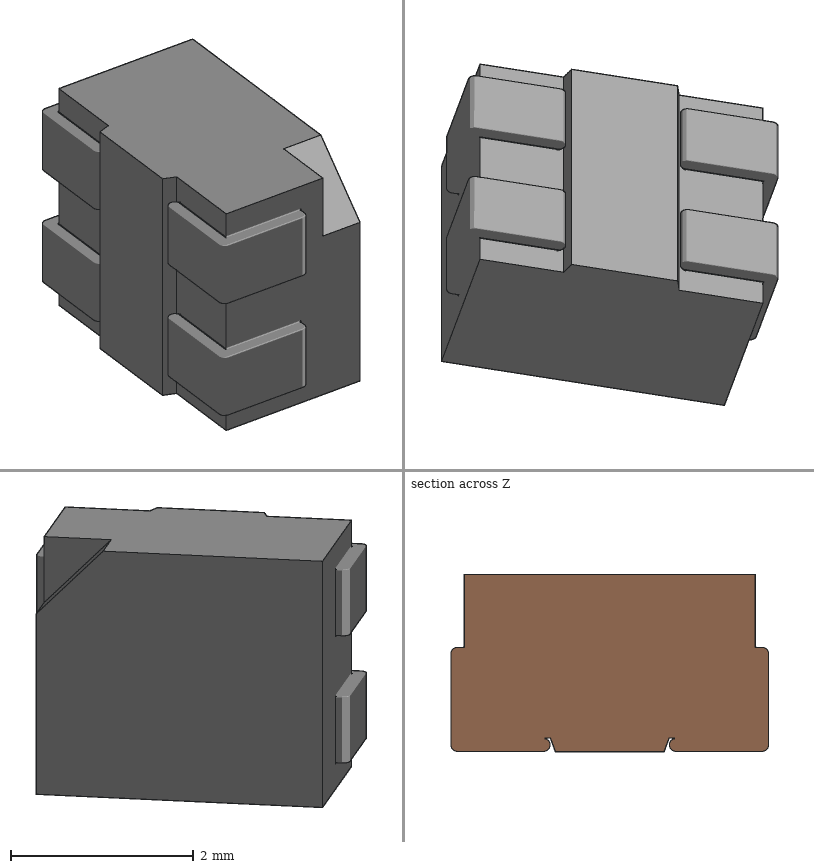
import cadquery as cq
import math

total_width = 3.5
total_depth = 1.95
housing_height = 2.8
lead_thickness = 0.15
lead_width = 0.752
lead_pitch = 1.445
lead_top = 1.15
foot_length = 1.1
lead_edge_fillet = 0.01
ridge_draft = 20.0
ridge_crest_width = 1.197
corner_cut = 0.75
corner_cut_depth = 0.5

half_width = total_width / 2
housing_half_width = half_width - lead_thickness
foot_tip = half_width - foot_length
ridge_root_width = ridge_crest_width + 2 * lead_thickness * math.tan(math.radians(ridge_draft))
bend_radius = lead_thickness / 2
tolerance = 3.5e-05
lead_centres = [(housing_height + end * lead_pitch) / 2 for end in (-1, 1)]


def housing_block():
    """Block with a tapered ridge that stands between the feet."""
    outline = [
        (-housing_half_width, total_depth),
        (housing_half_width, total_depth),
        (housing_half_width, lead_thickness),
        (ridge_root_width / 2, lead_thickness),
        (ridge_crest_width / 2, 0),
        (-ridge_crest_width / 2, 0),
        (-ridge_root_width / 2, lead_thickness),
        (-housing_half_width, lead_thickness),
    ]
    return cq.Workplane("XY").polyline(outline).close().extrude(housing_height)


def corner_wedge():
    """Wedge that leaves a 45 degree slope at the +X, +Y, +Z corner."""
    outline = [
        (housing_half_width - corner_cut, housing_height),
        (housing_half_width, housing_height),
        (housing_half_width, housing_height - corner_cut),
    ]
    return (
        cq.Workplane("XZ", origin=(0, total_depth, 0))
        .polyline(outline)
        .close()
        .extrude(corner_cut_depth)
    )


def make_lead(side, centre_z):
    """L-shaped lead with rounded outer bends, on the +X (1) or -X (-1) side."""
    outer = side * half_width
    inner = side * housing_half_width
    bend_start = side * (half_width - bend_radius)
    tip = side * foot_tip
    tip_round_start = side * (foot_tip + bend_radius)
    return (
        cq.Workplane("XY")
        .workplane(offset=centre_z - lead_width / 2)
        .moveTo(inner, lead_top)
        .lineTo(bend_start, lead_top)
        .tangentArcPoint((outer, lead_top - bend_radius), relative=False)
        .lineTo(outer, bend_radius)
        .tangentArcPoint((bend_start, 0), relative=False)
        .lineTo(tip_round_start, 0)
        .threePointArc((tip, bend_radius), (tip_round_start, lead_thickness))
        .lineTo(inner, lead_thickness)
        .close()
        .extrude(lead_width)
    )


def is_lead_root(edge):
    """True for the inside-corner edges where a lead's flat faces meet the housing."""
    centre = edge.Center()
    on_lead_face = any(
        math.isclose(abs(centre.z - lead_centre), lead_width / 2, abs_tol=tolerance)
        for lead_centre in lead_centres
    )
    on_side = math.isclose(abs(centre.x), housing_half_width, abs_tol=tolerance)
    on_underside = math.isclose(centre.y, lead_thickness, abs_tol=tolerance)
    return on_lead_face and (on_side or on_underside)


def round_flat_faces(lead):
    """Fillet the outer rims of a lead's flat faces, but not its edges against the housing."""
    rims = lead.faces("|Z").edges().filter(lambda edge: not is_lead_root(edge))
    return lead.newObject(rims.vals()).fillet(lead_edge_fillet)


def make_body():
    """Housing and its four leads as one solid, blended together along the lead roots."""
    housing = housing_block().cut(corner_wedge())
    leads = [make_lead(side, centre_z) for side in (-1, 1) for centre_z in lead_centres]
    sharp_body = housing
    body = housing
    for lead in leads:
        sharp_body = sharp_body.union(lead)
        body = body.union(round_flat_faces(lead))
    blended_body = sharp_body.edges().filter(is_lead_root).fillet(lead_edge_fillet)
    root_blends = blended_body.cut(sharp_body)
    return body.union(root_blends)


body = make_body()
result = cq.Compound.makeCompound([body.val()])